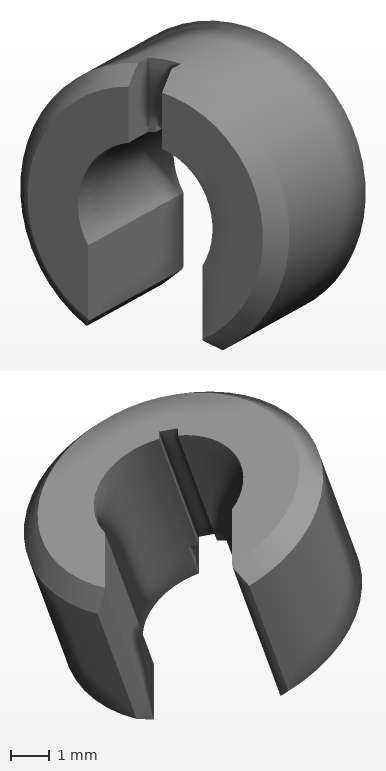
import cadquery as cq

outer_diameter = 8.0
outer_radius = outer_diameter / 2
bore_radius = outer_radius / 2
length = 5.0
end_chamfer = length / 10

opening_width = 3.4
flare_start_depth = 3.12

notch_width = 1.0
notch_depth = 1.0
keyway_width = notch_width / 2
keyway_top = 2.25

front_y = -length / 2


def make_ring():
    body = cq.Workplane("XZ").circle(outer_radius).extrude(length / 2, both=True)
    body = body.faces("<Y or >Y").edges().chamfer(end_chamfer)
    bore = cq.Workplane("XZ").circle(bore_radius).extrude(length / 2, both=True)
    return body.cut(bore)


def make_opening():
    half_width = opening_width / 2
    flare = outer_radius - flare_start_depth
    profile = [
        (-half_width, 0),
        (half_width, 0),
        (half_width, -flare_start_depth),
        (half_width + flare, -outer_radius),
        (-half_width - flare, -outer_radius),
        (-half_width, -flare_start_depth),
    ]
    return cq.Workplane("XZ").polyline(profile).close().extrude(length / 2, both=True)


def make_front_notch():
    notch = cq.Workplane("XY").box(notch_width, notch_depth, outer_radius, centered=(True, False, False))
    return notch.translate((0, front_y, 0))


def make_keyway():
    return cq.Workplane("XY").box(keyway_width, length, keyway_top, centered=(True, True, False))


result = make_ring().cut(make_opening()).cut(make_front_notch()).cut(make_keyway())